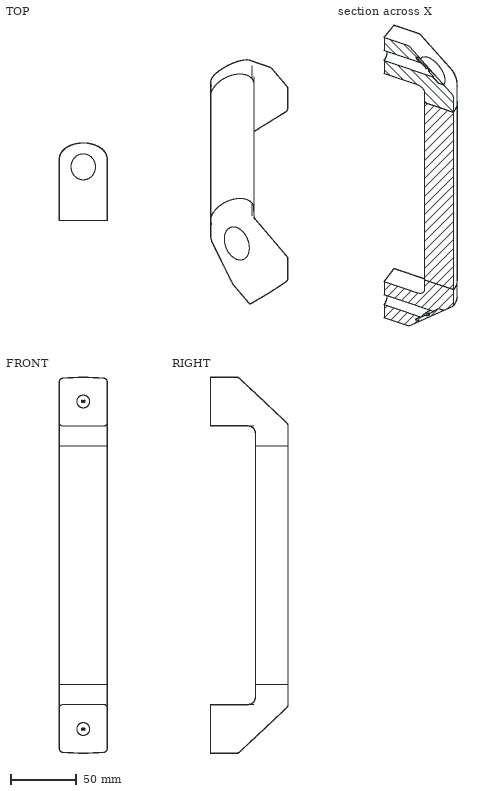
import cadquery as cq
import math

length = 288.0
width = 37.0
height = 59.5
half_width = width / 2

bar_depth = 25.0
bar_y = height - bar_depth / 2
grip_length = 182.5
grip_end = grip_length / 2

foot_depth = 37.5
ridge_rise = 1.0
foot_top = length / 2
foot_bottom = foot_top - foot_depth
outer_edge_radius = 3.2
inner_edge_radius = 3.0
blend_radius = 5.8

slope_start_y = 21.3
slope_end_z = 108.0
slope_run = height - slope_start_y
slope_drop = foot_top - slope_end_z

hole_z = foot_top - foot_depth / 2
hole_diameter = 9.8
plug_diameter = 18.7
plug_thickness = 3.0
pit_diameter = 2.5
pit_depth = 1.2

slope_length = math.hypot(slope_run, slope_drop)
slope_normal = cq.Vector(0, slope_drop / slope_length, slope_run / slope_length)
plug_y = slope_start_y + (foot_top - hole_z) * slope_run / slope_drop
plug_axial_thickness = plug_thickness / slope_normal.y


def bar(z_start, z_end):
    """Straight piece of the bar between two heights, its ellipse drawn as a back and a front half."""
    half_depth = bar_depth / 2
    return (
        cq.Workplane("XY", origin=(0, bar_y, z_start))
        .moveTo(half_width, 0)
        .ellipseArc(half_width, half_depth, 0, 180, startAtCurrent=True)
        .ellipseArc(half_width, half_depth, 180, 360, startAtCurrent=True)
        .close()
        .extrude(z_end - z_start)
    )


def slope_wedge(shift_y=0):
    """Wide block beyond the slope plane, the plane shifted along Y."""
    low = (height + slope_run + shift_y, slope_end_z - slope_drop)
    high = (slope_start_y - slope_run + shift_y, foot_top + slope_drop)
    return (
        cq.Workplane("YZ", origin=(-width, 0, 0))
        .polyline([low, (low[0], high[1]), high])
        .close()
        .extrude(2 * width)
    )


def screw_cylinder(diameter):
    """Cylinder on the screw axis, running the full height of the handle."""
    return cq.Workplane("XZ", origin=(0, 0, hole_z)).circle(diameter / 2).extrude(-height)


def plug_blank():
    """Disc cut from the screw axis cylinder by the slope and a plane parallel to it."""
    return screw_cylinder(plug_diameter).cut(slope_wedge()).intersect(slope_wedge(-plug_axial_thickness))


def foot_block():
    """Foot from the mounting face to the bar axis, with its two inner long edges rounded."""
    shoulder_z = foot_top - ridge_rise
    return (
        cq.Workplane("XZ")
        .polyline([
            (-half_width, foot_bottom),
            (half_width, foot_bottom),
            (half_width, shoulder_z),
            (0, foot_top),
            (-half_width, shoulder_z),
        ])
        .close()
        .extrude(-bar_y)
        .edges("|Y and <Z")
        .fillet(inner_edge_radius)
    )


def bracket():
    """Upper bracket: foot, slope and the stub of the bar, with the screw hole and plug seat."""
    body = foot_block().union(bar(grip_end, foot_top)).cut(slope_wedge())

    margin = inner_edge_radius
    bar_front_y = bar_y - bar_depth / 2
    blend_edges = cq.selectors.BoxSelector(
        (-width, bar_front_y - margin, foot_bottom - margin), (width, bar_y, foot_bottom + margin)
    )
    body = body.edges(blend_edges).fillet(blend_radius)

    rim = body.faces(cq.selectors.DirectionMinMaxSelector(slope_normal, True)).edges()
    for side in (-1, 1):
        upper_edge = (side * half_width, slope_start_y / 2, foot_top - ridge_rise)
        rim = rim.add(body.edges(cq.selectors.NearestToPointSelector(upper_edge)))
    body = rim.fillet(outer_edge_radius)

    return body.cut(screw_cylinder(hole_diameter)).cut(plug_blank())


def plug():
    """Upper plug, with a shallow pit square to the face that looks into the screw hole."""
    inner_centre = (0, plug_y - plug_axial_thickness, hole_z)
    inner_face = cq.Plane(inner_centre, (1, 0, 0), slope_normal)
    pit = cq.Workplane(inner_face).circle(pit_diameter / 2).extrude(pit_depth)
    return plug_blank().cut(pit)


def upper_and_lower(upper_body):
    """The upper body and its mirror image at the lower end, as separate solids."""
    return [upper_body.val(), upper_body.mirror("XY").val()]


grip = bar(-grip_end, grip_end)
brackets = upper_and_lower(bracket())
plugs = upper_and_lower(plug())

result = cq.Compound.makeCompound([grip.val(), *brackets, *plugs])